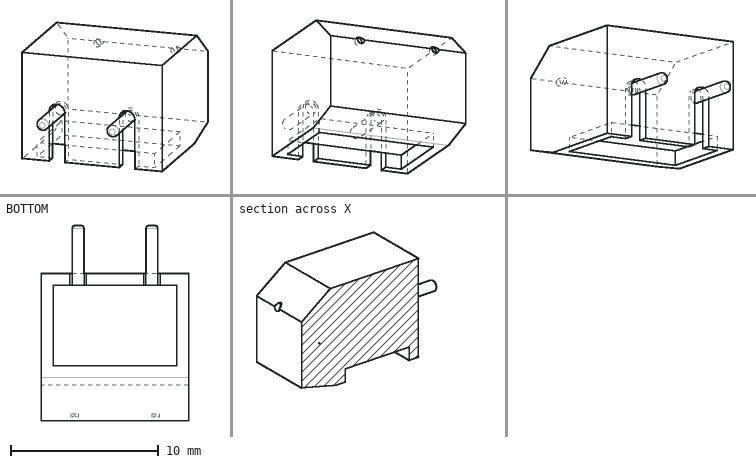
import cadquery as cq

width = 10.0
depth = 10.0
height = 7.5
top_bevel_depth = 2.45
top_bevel_height = 1.8
bottom_bevel_depth = 2.95
bottom_bevel_height = 0.7

pitch = 5.0
pin_diameter = 0.8
pin_projection = 3.25
pin_height = 3.5
pin_tip_radius = 0.2

wall = 0.8
slot_width = 1.12
recess_height = 1.0

hole_diameter = 0.52
hole_spacing = 5.5
hole_depth = 0.5

center_x = width / 2
pin_positions = [center_x - pitch / 2, center_x + pitch / 2]
hole_positions = [center_x - hole_spacing / 2, center_x + hole_spacing / 2]


def make_housing():
    """Side profile with both back edges bevelled, extruded across the width."""
    profile = [
        (0, 0),
        (depth - bottom_bevel_depth, 0),
        (depth, bottom_bevel_height),
        (depth, height - top_bevel_height),
        (depth - top_bevel_depth, height),
        (0, height),
    ]
    return cq.Workplane("YZ").polyline(profile).close().extrude(width)


def make_recess():
    """Recess in the flat part of the underside, leaving an even wall around it."""
    recess_depth = depth - bottom_bevel_depth - 2 * wall
    return cq.Workplane("XY").box(
        width - 2 * wall, recess_depth, recess_height, centered=False
    ).translate((wall, wall, 0))


def make_slot(x):
    """Round-topped slot, open at the underside and as deep as the front wall."""
    radius = slot_width / 2
    return (
        cq.Workplane("XZ")
        .moveTo(x - radius, 0)
        .lineTo(x - radius, pin_height)
        .threePointArc((x, pin_height + radius), (x + radius, pin_height))
        .lineTo(x + radius, 0)
        .close()
        .extrude(-wall)
    )


def make_pin(x):
    """Round pin with a rounded tip, rooted in the back wall of its slot."""
    embedded_length = 2 * wall
    return (
        cq.Workplane("XZ", origin=(x, embedded_length, pin_height))
        .circle(pin_diameter / 2)
        .extrude(embedded_length + pin_projection)
        .faces("<Y")
        .edges()
        .fillet(pin_tip_radius)
    )


def make_back_hole(x):
    """Blind round hole running forward from the back face."""
    return (
        cq.Workplane("XZ", origin=(x, depth, height - top_bevel_height))
        .circle(hole_diameter / 2)
        .extrude(hole_depth)
    )


result = make_housing().cut(make_recess())
for hole_x in hole_positions:
    result = result.cut(make_back_hole(hole_x))
for pin_x in pin_positions:
    result = result.cut(make_slot(pin_x)).union(make_pin(pin_x))